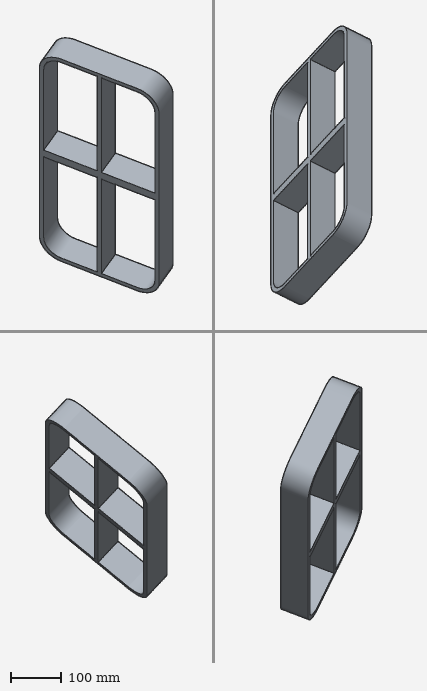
import cadquery as cq

width = 271.0
depth = 60.0
height = 596.0

wall = 10.0
upright_thickness = 10.0
shelf_thickness = 20.0

outer_radius = 50.0
inner_radius = outer_radius - wall

inner_width = width - 2 * wall
inner_height = height - 2 * wall


def rounded_block(size_x, size_z, corner_radius):
    """Full-depth block with its four corners rounded about the Y axis."""
    return cq.Workplane("XY").box(size_x, depth, size_z).edges("|Y").fillet(corner_radius)


def rim():
    """Closed band of constant wall thickness around the part."""
    outside = rounded_block(width, height, outer_radius)
    inside = rounded_block(inner_width, inner_height, inner_radius)
    return outside.cut(inside)


def upright():
    """Central vertical divider, reaching half a wall into the rim at both ends."""
    return cq.Workplane("XY").box(upright_thickness, depth, inner_height + wall)


def shelf():
    """Central horizontal divider, reaching half a wall into the rim at both ends."""
    return cq.Workplane("XY").box(inner_width + wall, depth, shelf_thickness)


result = rim().union(upright()).union(shelf())